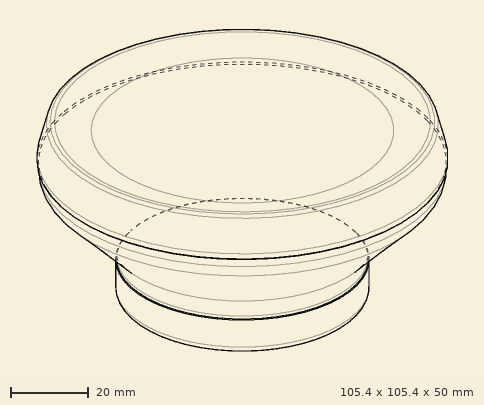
import cadquery as cq
import math

foot_radius = 65.0 / 2
neck_radius = 64.6 / 2
foot_height = 10.1
foot_fillet = 2.0
foot_chamfer = foot_radius - neck_radius
neck_start = 11.0
neck_curve = 8.0
flare_angle = math.radians(45)
shoulder_radius = 104.5 / 2
shoulder_curve = 5.0

cap_radius = 52.7
cap_bottom = 38.3
total_height = 50.0
cap_chamfer = cap_radius - shoulder_radius
taper_start = 40.2
taper_angle = math.radians(15)
top_fillet = 1.0
dish_rim_radius = 48.1
dish_floor_radius = 38.8
dish_depth = 2.5


def arc_point(center, radius, angle):
    """Point on a circle in the (radius, height) half plane."""
    return (center[0] + radius * math.cos(angle), center[1] + radius * math.sin(angle))


def revolve_profile(profile):
    """Turn a closed (radius, height) outline about the Z axis."""
    return profile.close().revolve(360, (0, 0, 0), (0, 1, 0))


def make_base():
    neck_center = (neck_radius + neck_curve, neck_start)
    neck_middle = arc_point(neck_center, neck_curve, math.pi - flare_angle / 2)
    neck_end = arc_point(neck_center, neck_curve, math.pi - flare_angle)

    shoulder_x = shoulder_radius - shoulder_curve
    flare_end_radius = shoulder_x + shoulder_curve * math.cos(flare_angle)
    flare_end_height = neck_end[1] + (flare_end_radius - neck_end[0]) / math.tan(flare_angle)
    shoulder_center = (shoulder_x, flare_end_height + shoulder_curve * math.sin(flare_angle))
    shoulder_middle = arc_point(shoulder_center, shoulder_curve, -flare_angle / 2)
    shoulder_end = arc_point(shoulder_center, shoulder_curve, 0)

    profile = (
        cq.Workplane("XZ")
        .lineTo(foot_radius, 0)
        .lineTo(foot_radius, foot_height - foot_chamfer)
        .lineTo(neck_radius, foot_height)
        .lineTo(neck_radius, neck_start)
        .threePointArc(neck_middle, neck_end)
        .lineTo(flare_end_radius, flare_end_height)
        .threePointArc(shoulder_middle, shoulder_end)
        .lineTo(shoulder_radius, cap_bottom)
        .lineTo(0, cap_bottom)
    )
    return revolve_profile(profile).faces("<Z").edges().fillet(foot_fillet)


def make_cap():
    top_radius = cap_radius - (total_height - taper_start) * math.tan(taper_angle)
    profile = (
        cq.Workplane("XZ")
        .moveTo(0, cap_bottom)
        .lineTo(cap_radius - cap_chamfer, cap_bottom)
        .lineTo(cap_radius, cap_bottom + cap_chamfer)
        .lineTo(cap_radius, taper_start)
        .lineTo(top_radius, total_height)
        .lineTo(0, total_height)
    )
    rounded_cap = revolve_profile(profile).faces(">Z").edges().fillet(top_fillet)
    return rounded_cap.cut(make_dish())


def make_dish():
    """Shallow conical recess with a flat floor."""
    floor_height = total_height - dish_depth
    profile = (
        cq.Workplane("XZ")
        .moveTo(0, floor_height)
        .lineTo(dish_floor_radius, floor_height)
        .lineTo(dish_rim_radius, total_height)
        .lineTo(0, total_height)
    )
    return revolve_profile(profile)


base = make_base()
cap = make_cap()
result = cq.Compound.makeCompound([base.val(), cap.val()])